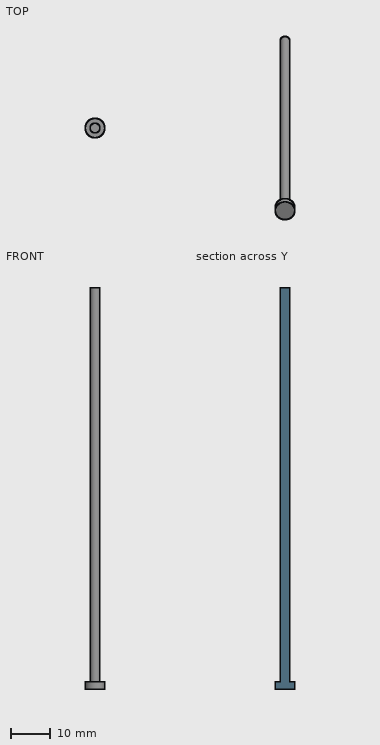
import cadquery as cq

head_diameter = 5.0
head_height = 2.0
shank_diameter = 2.5
shank_length = 100.0


def make_head():
    """Flat cylindrical head standing on Z = 0."""
    return cq.Workplane("XY").circle(head_diameter / 2).extrude(head_height)


def make_shank():
    """Long straight pin rising from the top face of the head."""
    top_of_head = cq.Workplane("XY").workplane(offset=head_height)
    return top_of_head.circle(shank_diameter / 2).extrude(shank_length)


result = make_head().union(make_shank())